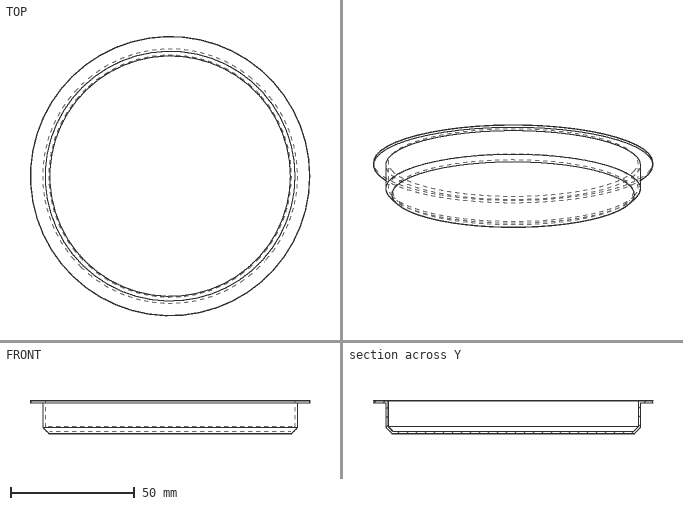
import cadquery as cq
import math

rim_diameter = 113.0
body_diameter = 103.0
total_height = 13.5
sheet = 1.0
outer_chamfer = 2.5

inner_chamfer = outer_chamfer - sheet * (2 - math.sqrt(2))
cavity_diameter = body_diameter - 2 * sheet


def chamfered_disc(diameter, height, chamfer, base_z):
    """Upright disc with a 45 degree chamfer around its bottom edge."""
    disc = cq.Workplane("XY").workplane(offset=base_z).circle(diameter / 2).extrude(height)
    return disc.faces("<Z").edges().chamfer(chamfer)


body = chamfered_disc(body_diameter, total_height, outer_chamfer, 0)

rim = (
    cq.Workplane("XY")
    .workplane(offset=total_height - sheet)
    .circle(rim_diameter / 2)
    .extrude(sheet)
)

cavity = chamfered_disc(cavity_diameter, total_height - sheet, inner_chamfer, sheet)

result = body.union(rim).cut(cavity)